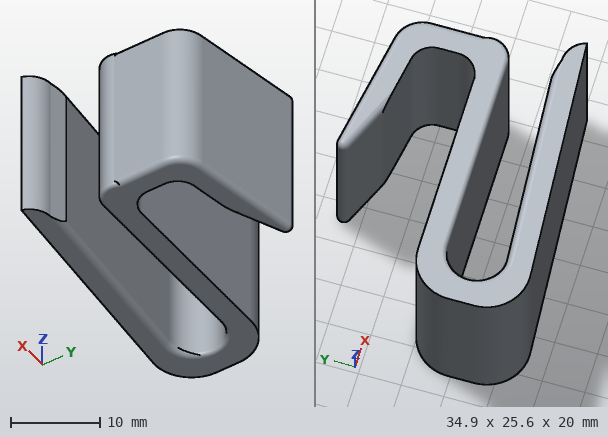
import cadquery as cq
import math

width = 20.0
length = 34.9

bend_radius = 5.0
spine_top = 13.05
spine_bottom = 10.0
arm_angle = math.radians(4.2)
slot_radius = 3.42
slot_x = 6.53
slot_y = spine_bottom - slot_radius
corner_radius = 2.5
corner_x = 30.12
corner_y = spine_bottom + corner_radius

tip_slope_start_x = 29.9
tip_arc_start = (32.18, 4.3)
tip_arc_middle = (34.05, 3.52)

hook_right = 32.55
hook_wall = 3.0
hook_angle = math.radians(10)
hook_outer_radius = 3.5
hook_outer_y = 19.7
channel_radius = 2.62
channel_upper_y = 17.95
hook_tip_x = 15.5
hook_tip_radius = 0.8
taper_angle = math.radians(24)
taper_end_x = 26.18

spine_rounding = 0.5
arm_rounding = 0.85
hook_rounding = 0.77
clearance = 6.98

notch_ratio = 0.9


def on_circle(center, radius, angle):
    """Point on a circle at an angle measured counterclockwise from +X."""
    return (center[0] + radius * math.cos(angle), center[1] + radius * math.sin(angle))


def along(point, angle, x):
    """Point at the given X on a line through point, inclined by angle."""
    return (x, point[1] + (x - point[0]) * math.tan(angle))


RIGHT_ANGLE = math.pi / 2
arm_normal = arm_angle - RIGHT_ANGLE
slot_center = (slot_x, slot_y)
slot_tangent = on_circle(slot_center, slot_radius, arm_normal)


def folded_strip():
    """Spine, left bend and lower arm, with the slot edges rounded."""
    upper_bend = (bend_radius, spine_top - bend_radius)
    lower_bend = (bend_radius, bend_radius)
    corner = (corner_x, corner_y)
    arm_start = on_circle(lower_bend, bend_radius, arm_normal)
    strip = (
        cq.Workplane("XY")
        .moveTo(bend_radius, spine_top)
        .threePointArc(on_circle(upper_bend, bend_radius, 0.75 * math.pi), (0, upper_bend[1]))
        .lineTo(0, bend_radius)
        .threePointArc(on_circle(lower_bend, bend_radius, 1.25 * math.pi), arm_start)
        .lineTo(*along(arm_start, arm_angle, length))
        .threePointArc(tip_arc_middle, tip_arc_start)
        .lineTo(*along(slot_tangent, arm_angle, tip_slope_start_x))
        .lineTo(*slot_tangent)
        .threePointArc((slot_x - slot_radius, slot_y), (slot_x, spine_bottom))
        .lineTo(corner_x, spine_bottom)
        .threePointArc(on_circle(corner, corner_radius, 0), (corner_x, corner_y + corner_radius))
        .lineTo(corner_x, spine_top)
        .close()
        .extrude(width)
    )
    spine_middle = ((slot_x + corner_x) / 2, spine_bottom)
    for z in (0, width):
        edge = cq.selectors.NearestToPointSelector((*spine_middle, z))
        strip = strip.edges(edge).fillet(spine_rounding)
    return strip.intersect(arm_envelope())


def arm_envelope():
    """Block whose notch gives the lower arm its larger edge rounding, fading out in the bend."""
    notch_radius = notch_ratio * slot_radius
    center = on_circle(slot_tangent, notch_radius, arm_normal + math.pi)
    far_x = length + clearance
    notch_top = center[1] + notch_radius
    envelope = (
        cq.Workplane("XY")
        .moveTo(-clearance, -clearance)
        .lineTo(far_x, -clearance)
        .lineTo(*along(slot_tangent, arm_angle, far_x))
        .lineTo(*slot_tangent)
        .threePointArc((center[0] - notch_radius, center[1]), (center[0], notch_top))
        .lineTo(far_x, notch_top)
        .lineTo(far_x, length)
        .lineTo(-clearance, length)
        .close()
        .extrude(width)
    )
    arm_middle = along(slot_tangent, arm_angle, length / 2)
    for z in (0, width):
        edge = cq.selectors.NearestToPointSelector((*arm_middle, z))
        envelope = envelope.edges(edge).fillet(arm_rounding)
    return envelope


def hook_envelope():
    """Hook without its channel, rounded along its outside, its tip and its taper."""
    bend = (hook_right - hook_outer_radius, hook_outer_y)
    outer_normal = RIGHT_ANGLE - hook_angle
    bend_end = on_circle(bend, hook_outer_radius, outer_normal)
    inset_line = on_circle(bend, hook_outer_radius - hook_tip_radius, outer_normal)
    tip = along(inset_line, -hook_angle, hook_tip_x)
    taper_start = on_circle(tip, hook_tip_radius, -RIGHT_ANGLE - taper_angle)
    envelope = (
        cq.Workplane("XY")
        .moveTo(hook_right, corner_y)
        .lineTo(hook_right, hook_outer_y)
        .threePointArc(on_circle(bend, hook_outer_radius, outer_normal / 2), bend_end)
        .lineTo(*on_circle(tip, hook_tip_radius, outer_normal))
        .threePointArc((hook_tip_x - hook_tip_radius, tip[1]), taper_start)
        .lineTo(*along(taper_start, -taper_angle, taper_end_x))
        .lineTo(taper_end_x, corner_y)
        .close()
        .extrude(width)
    )
    for z in (0, width):
        edge = cq.selectors.NearestToPointSelector((hook_right, (corner_y + hook_outer_y) / 2, z))
        envelope = envelope.edges(edge).fillet(hook_rounding)
    return envelope


def hook_channel():
    """Open channel between the spine and the hook."""
    wall_x = hook_right - hook_wall
    center_x = wall_x - channel_radius
    lower = (center_x, spine_top + channel_radius)
    upper = (center_x, channel_upper_y)
    upper_normal = RIGHT_ANGLE - hook_angle
    upper_end = on_circle(upper, channel_radius, upper_normal)
    return (
        cq.Workplane("XY")
        .moveTo(0, spine_top)
        .lineTo(center_x, spine_top)
        .threePointArc(on_circle(lower, channel_radius, -math.pi / 4), (wall_x, lower[1]))
        .lineTo(wall_x, channel_upper_y)
        .threePointArc(on_circle(upper, channel_radius, upper_normal / 2), upper_end)
        .lineTo(*along(upper_end, -hook_angle, 0))
        .close()
        .extrude(width)
    )


result = folded_strip().union(hook_envelope().cut(hook_channel()))